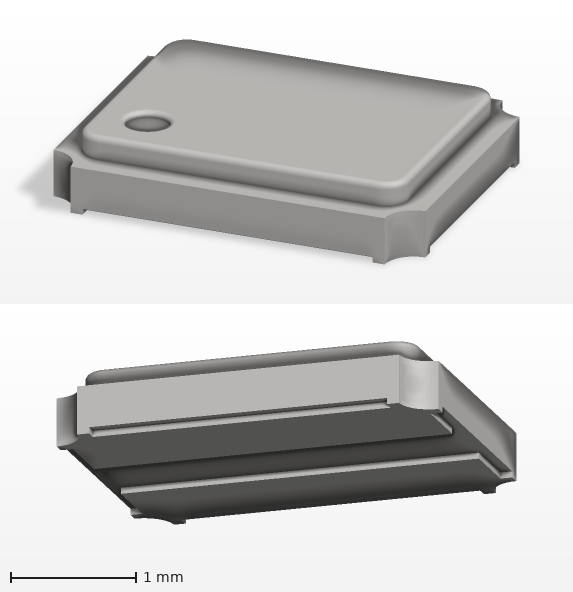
import cadquery as cq

LENGTH = 3.2
WIDTH = 2.5
HEIGHT = 0.6
PAD_THICKNESS = 0.05
LID_HEIGHT = 0.2
BASE_HEIGHT = HEIGHT - LID_HEIGHT - PAD_THICKNESS

NOTCH_RADIUS = 0.25

LID_INSET = 0.2
LID_CORNER_RADIUS = 0.2
EDGE_ROUND = 0.05

MARK_EDGE_DISTANCE = 0.65
MARK_RADIUS = 0.175
MARK_DEPTH = EDGE_ROUND

TAB_LENGTH = 0.352
PAD_INSET = 0.1
PAD_WIDTH = 0.905

CORNER_SIGNS = [(-1, -1), (1, -1), (1, 1), (-1, 1)]


def make_corner_notches():
    """Cylinders that cut the corners of both the package and its pads."""
    corners = [(sx * LENGTH / 2, sy * WIDTH / 2) for sx, sy in CORNER_SIGNS]
    return cq.Workplane("XY").pushPoints(corners).circle(NOTCH_RADIUS).extrude(HEIGHT)


def make_lid():
    """Rounded lid block standing on the base."""
    return (
        cq.Workplane("XY", origin=(0, 0, PAD_THICKNESS + BASE_HEIGHT))
        .rect(LENGTH - 2 * LID_INSET, WIDTH - 2 * LID_INSET)
        .extrude(LID_HEIGHT)
        .edges("|Z")
        .fillet(LID_CORNER_RADIUS)
        .faces(">Z")
        .edges()
        .fillet(EDGE_ROUND)
    )


def make_orientation_mark():
    """Recess whose wall is a convex quarter round, widest at the lid surface."""
    floor_height = HEIGHT - MARK_DEPTH
    rim_radius = MARK_RADIUS + EDGE_ROUND
    arc_offset = EDGE_ROUND * 0.5 ** 0.5
    arc_middle = (rim_radius - arc_offset, floor_height + arc_offset)
    profile = (
        cq.Workplane("XZ")
        .moveTo(0, floor_height)
        .lineTo(MARK_RADIUS, floor_height)
        .threePointArc(arc_middle, (rim_radius, HEIGHT))
        .lineTo(0, HEIGHT)
        .close()
    )
    center_x = MARK_EDGE_DISTANCE - LENGTH / 2
    center_y = MARK_EDGE_DISTANCE - WIDTH / 2
    return profile.revolve(360, (0, 0), (0, 1)).translate((center_x, center_y, 0))


def make_package():
    """Base and lid as one body, with notched corners and the orientation mark."""
    base = (
        cq.Workplane("XY", origin=(0, 0, PAD_THICKNESS))
        .rect(LENGTH, WIDTH)
        .extrude(BASE_HEIGHT)
        .cut(make_corner_notches())
    )
    return base.union(make_lid()).cut(make_orientation_mark())


def make_pad(sign_x, sign_y):
    """One pad in the given corner; pads in a row meet at the middle of the length."""
    corner_x = sign_x * LENGTH / 2
    corner_y = sign_y * WIDTH / 2
    inset_x = corner_x - sign_x * PAD_INSET
    inset_y = corner_y - sign_y * PAD_INSET
    tab_x = corner_x - sign_x * TAB_LENGTH
    tab_y = corner_y - sign_y * TAB_LENGTH
    inner_y = corner_y - sign_y * PAD_WIDTH
    outline = [
        (corner_x, corner_y),
        (tab_x, corner_y),
        (tab_x, inset_y),
        (0, inset_y),
        (0, inner_y),
        (inset_x, inner_y),
        (inset_x, tab_y),
        (corner_x, tab_y),
    ]
    blank = cq.Workplane("XY").polyline(outline).close().extrude(PAD_THICKNESS)
    return blank.cut(make_corner_notches())


package = make_package()
pads = [make_pad(sign_x, sign_y) for sign_x, sign_y in CORNER_SIGNS]

result = cq.Compound.makeCompound([package.val(), *[pad.val() for pad in pads]])